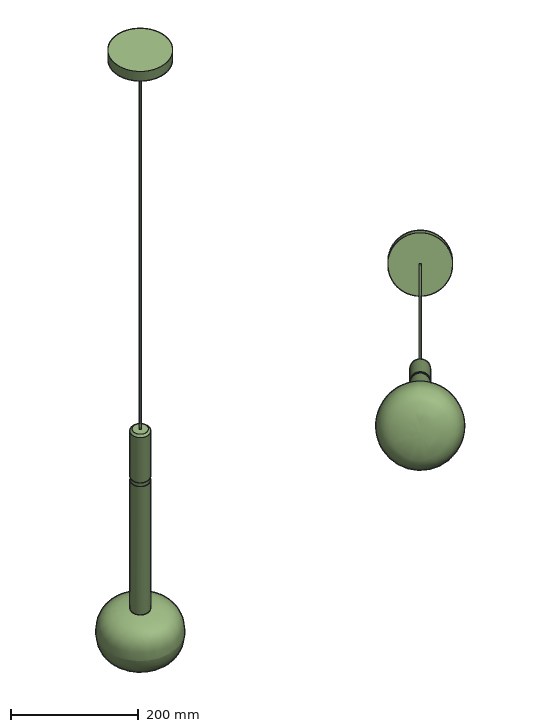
import cadquery as cq

TOTAL_HEIGHT = 1270.0

CANOPY_DIAMETER = 102.0
CANOPY_THICKNESS = 20.0

CORD_DIAMETER = 4.0

STEM_DIAMETER = 33.0
STEM_LENGTH = 376.0
STEM_CHAMFER = 4.0
SEAT_DEPTH = 1.0
GROOVE_DROP = 99.0
GROOVE_WIDTH = 8.0
GROOVE_DEPTH = 0.6

SHADE_DIAMETER = 140.0
SHADE_HEIGHT = 100.0
SHADE_FULLNESS = 0.7

TOP_Z = TOTAL_HEIGHT / 2
CANOPY_BOTTOM_Z = TOP_Z - CANOPY_THICKNESS
SHADE_BOTTOM_Z = -TOP_Z
SHADE_TOP_Z = SHADE_BOTTOM_Z + SHADE_HEIGHT
STEM_BOTTOM_Z = SHADE_TOP_Z - SEAT_DEPTH
STEM_TOP_Z = STEM_BOTTOM_Z + STEM_LENGTH


def upright_cylinder(diameter, bottom_z, height):
    """Cylinder on the lamp axis, standing on bottom_z."""
    return cq.Workplane("XY").workplane(offset=bottom_z).circle(diameter / 2).extrude(height)


def make_canopy():
    """Flat ceiling disc."""
    return upright_cylinder(CANOPY_DIAMETER, CANOPY_BOTTOM_Z, CANOPY_THICKNESS)


def make_cord():
    """Thin cord from the stem top to the underside of the canopy."""
    return upright_cylinder(CORD_DIAMETER, STEM_TOP_Z, CANOPY_BOTTOM_Z - STEM_TOP_Z)


def make_stem():
    """Rod with a chamfered top edge and a shallow groove around it."""
    rod = upright_cylinder(STEM_DIAMETER, STEM_BOTTOM_Z, STEM_LENGTH)
    rod = rod.faces(">Z").edges().chamfer(STEM_CHAMFER)
    groove_bottom_z = STEM_TOP_Z - GROOVE_DROP - GROOVE_WIDTH
    groove_floor_diameter = STEM_DIAMETER - 2 * GROOVE_DEPTH
    ring = upright_cylinder(STEM_DIAMETER, groove_bottom_z, GROOVE_WIDTH).cut(
        upright_cylinder(groove_floor_diameter, groove_bottom_z, GROOVE_WIDTH)
    )
    return rod.cut(ring)


def make_shade(stem):
    """Flattened, smoothly rounded globe with a shallow seat for the stem."""
    radius = SHADE_DIAMETER / 2
    half_height = SHADE_HEIGHT / 2
    middle_z = SHADE_BOTTOM_Z + half_height
    pole_handle = SHADE_FULLNESS * radius
    rim_handle = SHADE_FULLNESS * half_height
    bottom_pole = (0, SHADE_BOTTOM_Z)
    rim = (radius, middle_z)
    top_pole = (0, SHADE_TOP_Z)
    lower_curve = [
        bottom_pole,
        (pole_handle, SHADE_BOTTOM_Z),
        (radius, middle_z - rim_handle),
        rim,
    ]
    upper_curve = [
        rim,
        (radius, middle_z + rim_handle),
        (pole_handle, SHADE_TOP_Z),
        top_pole,
    ]
    globe = (
        cq.Workplane("XZ")
        .moveTo(*bottom_pole)
        .bezier(lower_curve)
        .bezier(upper_curve)
        .close()
        .revolve(360, (0, 0, 0), (0, 1, 0))
    )
    return globe.cut(stem)


canopy = make_canopy()
cord = make_cord()
stem = make_stem()
shade = make_shade(stem)

result = cq.Compound.makeCompound([canopy.val(), cord.val(), stem.val(), shade.val()])